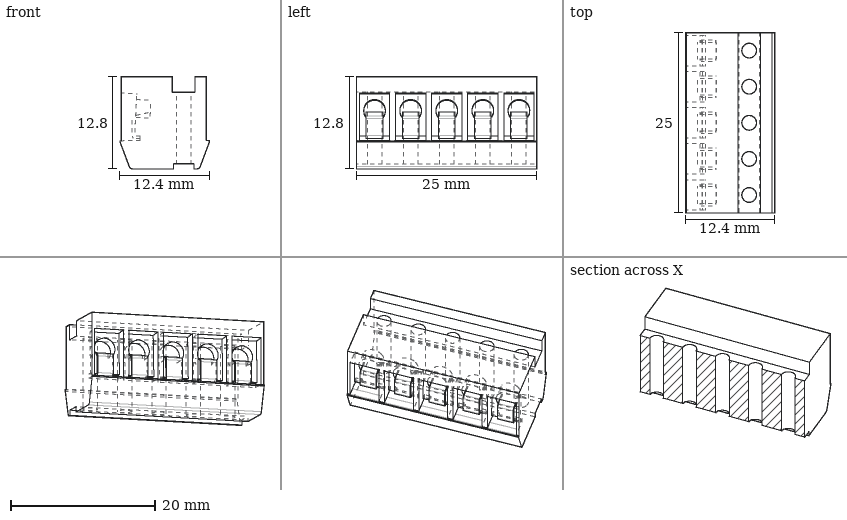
import cadquery as cq
import math

length = 25.0
height = 12.8
body_left = 0.18
body_right = 11.98
lug_left = 0.0
lug_right = 12.4
lug_left_top = 3.9
lug_right_top = 3.98
taper_start = 3.72
taper_inset = 1.4
base_corner_radius = 0.5

screw_x = 8.82
channel_width = 3.1
channel_depth = 2.15
groove_width = 2.8
groove_depth = 0.72
screw_hole_diameter = 2.0

pole_count = 5
pole_pitch = length / pole_count
pocket_width = 4.2
pocket_bottom = lug_left_top
pocket_top = 10.52
ramp_end_x = 1.2
draft = math.radians(3.0)
wall_foot_x = 2.02
wall_foot_z = 4.55
undercut_x = 2.75

wire_hole_diameter = 3.0
wire_hole_z = 8.12
wire_hole_depth = 2.0

clamp_width = 2.3
clamp_front_x = 1.7
clamp_bottom = 4.22
clamp_bend_z = 7.3
clamp_rise_angle = math.radians(13.0)
clamp_bend_radius = 0.4
clamp_back_x = 4.5


def wall_x(z):
    """X of the drafted pocket wall at height z."""
    return wall_foot_x + (z - wall_foot_z) * math.tan(draft)


def prism(points, width, y):
    """X-Z outline extruded to the given width, centred on y."""
    return cq.Workplane("XZ", origin=(0, y, 0)).polyline(points).close().extrude(width / 2, both=True)


def make_housing():
    outline = [
        (lug_left + taper_inset, 0),
        (lug_right - taper_inset, 0),
        (lug_right, taper_start),
        (lug_right, lug_right_top),
        (body_right, lug_right_top),
        (body_right, height),
        (body_left, height),
        (body_left, lug_left_top),
        (lug_left, lug_left_top),
        (lug_left, taper_start),
    ]
    housing = prism(outline, length, 0).edges("|Y and <Z").fillet(base_corner_radius)
    channel = cq.Workplane("XY").box(channel_width, length, 2 * channel_depth)
    groove = cq.Workplane("XY").box(groove_width, length, 2 * groove_depth)
    return housing.cut(channel.translate((screw_x, 0, height))).cut(groove.translate((screw_x, 0, 0)))


def make_screw_hole(y):
    return cq.Workplane("XY").center(screw_x, y).circle(screw_hole_diameter / 2).extrude(height)


def make_pocket(y):
    slope = math.tan(draft)
    ceiling_back = pocket_top - (wall_x(pocket_top) - body_left) * slope
    floor_back = pocket_bottom + (ramp_end_x - body_left) * slope
    outline = [
        (ramp_end_x, floor_back),
        (undercut_x, floor_back),
        (undercut_x, wall_foot_z),
        (wall_foot_x, wall_foot_z),
        (wall_x(ceiling_back), ceiling_back),
        (body_left, pocket_top),
        (body_left, pocket_bottom),
    ]
    return prism(outline, pocket_width, y)


def make_wire_hole(y):
    inward = cq.Vector(math.cos(draft), 0, -math.sin(draft))
    centre = cq.Vector(wall_x(wire_hole_z), y, wire_hole_z)
    return cq.Workplane(cq.Solid.makeCylinder(wire_hole_diameter / 2, wire_hole_depth, centre, inward))


def make_clamp(y):
    rise = (clamp_back_x - clamp_front_x) * math.tan(clamp_rise_angle)
    outline = [
        (clamp_front_x, clamp_bottom),
        (clamp_back_x, clamp_bottom),
        (clamp_back_x, clamp_bend_z + rise),
        (clamp_front_x, clamp_bend_z),
    ]
    return prism(outline, clamp_width, y).edges("|Y and <X").fillet(clamp_bend_radius)


result = make_housing()
for pole in range(pole_count):
    pole_y = (pole + 0.5) * pole_pitch - length / 2
    result = result.cut(make_screw_hole(pole_y))
    result = result.cut(make_pocket(pole_y)).cut(make_wire_hole(pole_y))
    result = result.union(make_clamp(pole_y))